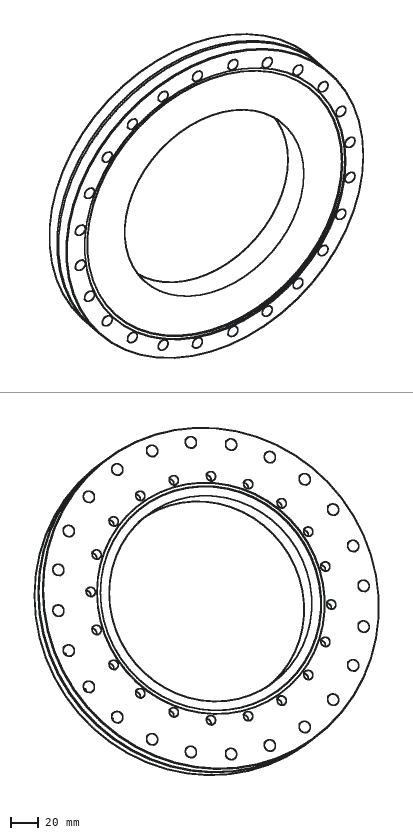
import cadquery as cq
import math

outer_diameter = 253.2
bore_diameter = 152.5
thickness = 24.8
edge_chamfer_length = 0.8
edge_chamfer_depth = 0.38

rim_groove_width = 2.3
rim_groove_depth = 2.0

front_recess_diameter = 171.5
back_recess_diameter = 222.3
recess_depth = 1.3
knife_flank_width = 2.5
knife_inner_taper = 0.3
knife_flank_angle = 20

bolt_count = 24
bolt_hole_diameter = 8.4
bolt_circle_diameter = 231.7

blind_count = 20
blind_hole_diameter = 6.8
blind_circle_diameter = 181.0
blind_depth = 12.7
drill_point_angle = 118

outer_radius = outer_diameter / 2
bore_radius = bore_diameter / 2
front_x = -thickness / 2


def revolve_about_x(points):
    """Solid of revolution about the X axis from (x, radius) points."""
    return cq.Workplane("XY").polyline(points).close().revolve(360, (0, 0, 0), (1, 0, 0))


def make_ring():
    """Ring whose two rim edges have shallow chamfers."""
    back_x = -front_x
    face_radius = outer_radius - edge_chamfer_depth
    return revolve_about_x([
        (front_x, bore_radius),
        (front_x, face_radius),
        (front_x + edge_chamfer_length, outer_radius),
        (back_x - edge_chamfer_length, outer_radius),
        (back_x, face_radius),
        (back_x, bore_radius),
    ])


def make_rim_groove():
    half_width = rim_groove_width / 2
    return revolve_about_x([
        (-half_width, outer_radius),
        (0, outer_radius - rim_groove_depth),
        (half_width, outer_radius),
    ])


def make_seal_recess(recess_diameter):
    """Material removed from the -X face, leaving a knife edge beside the recess wall."""
    floor_x = front_x + recess_depth
    wall_radius = recess_diameter / 2
    knife_radius = wall_radius - knife_flank_width
    knife_height = knife_flank_width * math.tan(math.radians(knife_flank_angle))
    return revolve_about_x([
        (front_x, bore_radius),
        (front_x, wall_radius),
        (floor_x, wall_radius),
        (floor_x - knife_height, knife_radius),
        (floor_x, knife_radius - knife_inner_taper),
        (floor_x, bore_radius),
    ])


def make_bolt_holes():
    return (
        cq.Workplane("YZ", origin=(front_x, 0, 0))
        .polarArray(bolt_circle_diameter / 2, 180 / bolt_count, 360, bolt_count)
        .circle(bolt_hole_diameter / 2)
        .extrude(thickness)
    )


def make_blind_holes():
    """Drilled holes with conical bottoms."""
    hole_radius = blind_hole_diameter / 2
    point_length = hole_radius / math.tan(math.radians(drill_point_angle / 2))
    shoulder_x = front_x + blind_depth
    drill = revolve_about_x([
        (front_x, 0),
        (front_x, hole_radius),
        (shoulder_x, hole_radius),
        (shoulder_x + point_length, 0),
    ]).translate((0, 0, blind_circle_diameter / 2))
    holes = cq.Workplane("YZ")
    for index in range(blind_count):
        holes = holes.add(drill.rotate((0, 0, 0), (1, 0, 0), index * 360 / blind_count))
    return holes.combine()


result = (
    make_ring()
    .cut(make_rim_groove())
    .cut(make_seal_recess(front_recess_diameter))
    .cut(make_seal_recess(back_recess_diameter).mirror("YZ"))
    .cut(make_bolt_holes())
    .cut(make_blind_holes())
)